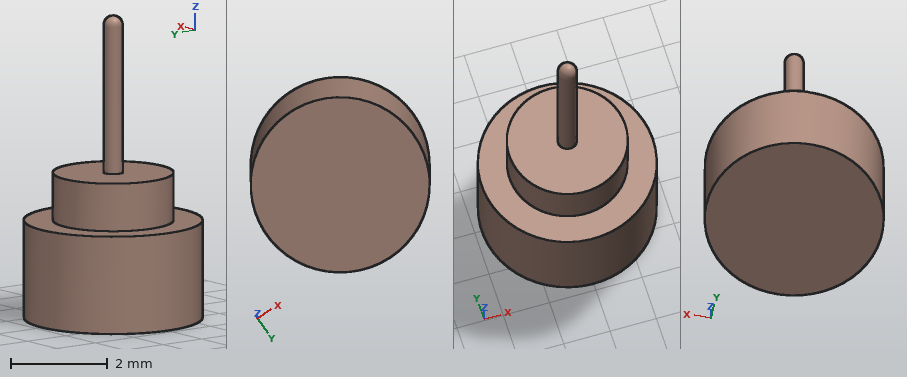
import cadquery as cq

overall_height = 6.35
base_diameter = 3.7
base_height = 2.05
collar_diameter = 2.5
collar_height = 1.0
bead_diameter = 1.95
pin_diameter = 0.4

body_height = base_height + collar_height
pin_radius = pin_diameter / 2
tip_center_height = overall_height - pin_radius


def make_shell():
    """Stepped round body with a through bore for the bead."""
    base = cq.Workplane("XY").circle(base_diameter / 2).extrude(base_height)
    collar = cq.Workplane("XY").circle(collar_diameter / 2).extrude(body_height)
    bore = cq.Workplane("XY").circle(bead_diameter / 2).extrude(body_height)
    return base.union(collar).cut(bore)


def make_bead():
    """Bead that fills the bore, flush with both ends of the body."""
    return cq.Workplane("XY").circle(bead_diameter / 2).extrude(body_height)


def make_pin():
    """Central pin with a hemispherical tip, standing on the bead."""
    return (
        cq.Workplane("XZ")
        .moveTo(0, body_height)
        .lineTo(pin_radius, body_height)
        .lineTo(pin_radius, tip_center_height)
        .radiusArc((0, overall_height), -pin_radius)
        .close()
        .revolve(360, (0, 0, 0), (0, 1, 0))
    )


result = make_shell().union(make_bead(), clean=False).union(make_pin(), clean=False)